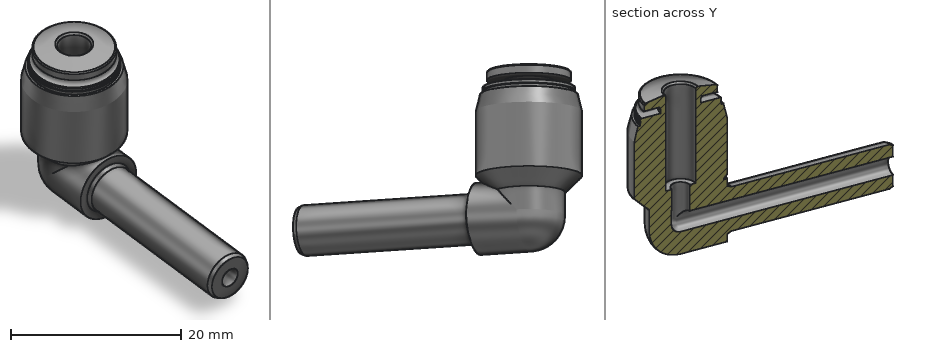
import cadquery as cq

elbow_radius = 8.5 / 2
socket_radius = 12.5 / 2
elbow_reach = socket_radius

overall_length = 34.75
stem_tip = overall_length - socket_radius
stem_radius = 6.0 / 2
stem_taper_length = 0.52
stem_taper_rise = 0.25

socket_cone_bottom = 7.02
socket_cone_top = socket_cone_bottom + socket_radius - elbow_radius
shoulder_bottom = 16.68
shoulder_top = 18.65
shoulder_radius = 5.77
collar_radius = 10.9 / 2
collar_top = 19.6
collar_bevel_width = 0.17
collar_bevel_height = 0.1
collar_groove_height = 19.05
collar_groove_width = 0.1
collar_groove_depth = 0.07

neck_radius = 5.4 / 2
neck_flare = 0.17
neck_flare_bottom = 20.0
button_radius = 9.9 / 2
button_bottom = 20.4
button_edge_top = 21.3
button_bevel = 0.17
button_top = 21.93

tube_bore_radius = 4.0 / 2
bore_bevel = 0.25
tube_bore_floor = socket_cone_top
flow_radius = 2.4 / 2


def vertical_rod(radius, bottom, top):
    return cq.Workplane("XY").workplane(offset=bottom).circle(radius).extrude(top - bottom)


def horizontal_rod(radius, length):
    return cq.Workplane("YZ").center(0, elbow_radius).circle(radius).extrude(length)


def ball(radius):
    return cq.Workplane("XY").sphere(radius).translate((0, 0, elbow_radius))


def make_elbow():
    riser = vertical_rod(elbow_radius, elbow_radius, socket_cone_bottom)
    return riser.union(ball(elbow_radius)).union(horizontal_rod(elbow_radius, elbow_reach))


def make_stem():
    stem = horizontal_rod(stem_radius, stem_tip).faces(">X").chamfer(stem_taper_length, stem_taper_rise)
    root_taper = (
        cq.Workplane("XY")
        .moveTo(elbow_reach, 0)
        .lineTo(elbow_reach, stem_radius + stem_taper_rise)
        .lineTo(elbow_reach + stem_taper_length, stem_radius)
        .lineTo(elbow_reach + stem_taper_length, 0)
        .close()
        .revolve(360, (0, 0, 0), (1, 0, 0))
        .translate((0, 0, elbow_radius))
    )
    return stem.union(root_taper)


def make_socket_and_button():
    groove_radius = collar_radius - collar_groove_depth
    groove_top = collar_groove_height + collar_groove_width
    profile = [
        (0, socket_cone_bottom),
        (elbow_radius, socket_cone_bottom),
        (socket_radius, socket_cone_top),
        (socket_radius, shoulder_bottom),
        (shoulder_radius, shoulder_top),
        (collar_radius, shoulder_top),
        (collar_radius, collar_groove_height),
        (groove_radius, collar_groove_height),
        (groove_radius, groove_top),
        (collar_radius, groove_top),
        (collar_radius, collar_top - collar_bevel_height),
        (collar_radius - collar_bevel_width, collar_top),
        (neck_radius, collar_top),
        (neck_radius, neck_flare_bottom),
        (neck_radius + neck_flare, button_bottom),
        (button_radius, button_bottom),
        (button_radius, button_edge_top),
        (button_radius - button_bevel, button_edge_top + button_bevel),
        (tube_bore_radius + bore_bevel, button_top),
        (0, button_top),
    ]
    return cq.Workplane("XZ").polyline(profile).close().revolve(360, (0, 0, 0), (0, 1, 0))


def make_bores():
    tube_bore = vertical_rod(tube_bore_radius, tube_bore_floor, button_top)
    mouth_bevel = (
        cq.Workplane("XY")
        .workplane(offset=button_top - bore_bevel)
        .circle(tube_bore_radius)
        .workplane(offset=bore_bevel)
        .circle(tube_bore_radius + bore_bevel)
        .loft()
    )
    flow_riser = vertical_rod(flow_radius, elbow_radius, tube_bore_floor)
    flow_path = flow_riser.union(ball(flow_radius)).union(horizontal_rod(flow_radius, stem_tip))
    return tube_bore.union(mouth_bevel).union(flow_path)


fitting = make_elbow().union(make_stem()).union(make_socket_and_button()).cut(make_bores())

result = fitting.translate((socket_radius - overall_length / 2, 0, 0))